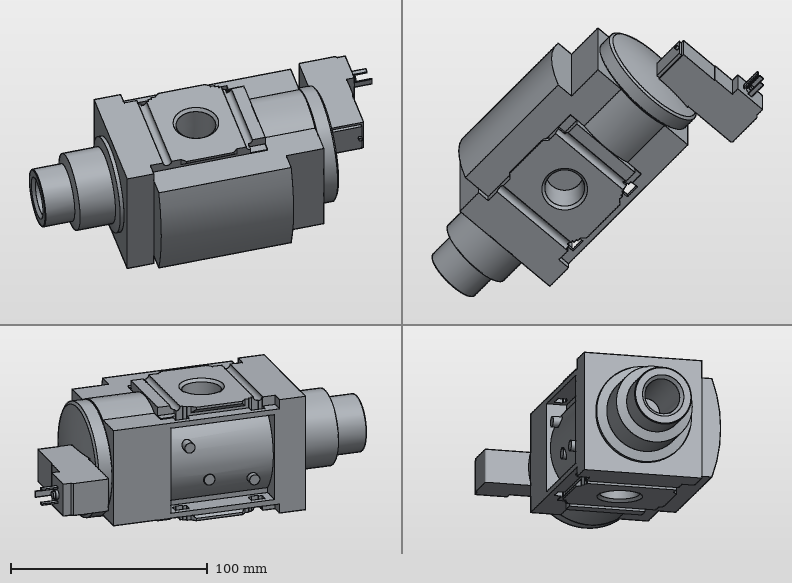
import cadquery as cq


HALF_WIDTH = 31.0
FLAT_Z = 26.0
BODY_BACK_Y = 58.9
FOOT_FRONT_Y = -45.1
PLATE_HALF_Y = 31.0
PLATE_HALF_X = 24.4
BOSS_HALF_X = 15.0
BOSS_CROWN_Z = 30.4

GROOVE_Y = 22.05
GROOVE_RADIUS = 2.25
CORNER_X = 20.0
CORNER_FRONT_Y = 22.05
CORNER_Z = 26.5
RIB_TIP_HALF_Y = 12.5
RIB_PROJECTION = 2.2
RIB_BOTTOM_Z = 27.5
PORT_RADIUS = 10.1
PORT_BOTTOM_RADIUS = 9.6
PORT_MOUTH_RADIUS = 11.6
PORT_DEPTH = 20.0

WINDOW_FRONT_Y = -28.3
WINDOW_BACK_Y = 27.9
WINDOW_HALF_Z = 23.2
WINDOW_BACK_X = -20.5
CORE_RADIUS = 29.0
SLOT_Y = 20.5
SLOT_HALF_Y = 3.7
SLOT_INNER_HALF_Y = 1.9
SLOT_OUTER_X = -27.9
SLOT_STEP_X = -23.5
SLOT_INNER_X = -22.5
STUD_Y = 17.55
STUD_Z = 11.0
STUD_DIAMETER = 5.5
BUTTON_DIAMETER = 5.8
BUTTON_Y = 6.1
BUTTON_Z = -8.6
BUTTON_TIP_X = -28.8

COVER_FRONT_Y = -31.0
COVER_BACK_Y = 39.0
COVER_EDGE_X = 40.2
COVER_CROWN_X = 44.8

FLANGE_RADIUS = 25.0
COLLAR_RADIUS = 20.0
NOZZLE_RADIUS = 15.0
FLANGE_EDGE_Y = -47.1
COLLAR_START_Y = -48.2
COLLAR_EDGE_Y = -66.9
NOZZLE_START_Y = -68.3
NOZZLE_END_Y = -84.0
NOZZLE_CHAMFER = 0.4
BORE_RADIUS = 9.2
BORE_MOUTH_RADIUS = 10.9
BORE_BOTTOM_RADIUS = 7.8
BORE_DEPTH = 35.0

CAP_RADIUS = 30.0
CAP_NECK_RADIUS = 29.0
CAP_START_Y = 59.3
CAP_EDGE_Y = 66.4
DOME_EDGE_RADIUS = 28.5
DOME_EDGE_Y = 67.4
DOME_TOP_Y = 70.8

COIL_HALF_Z = 8.75
PLUG_LEFT_X = -52.0
PLUG_SHOULDER_X = -51.0
PLUG_HEAD_RIGHT_X = -33.9
PLUG_RIGHT_X = -22.0
PLUG_FRONT_Y = 69.1
PLUG_BACK_Y = 89.3
PLUG_SHOULDER_Y = 88.2
PLUG_HEAD_Y = 93.4
PLUG_EDGE_RADIUS = 0.9
COIL_BACK_Y = 88.9
COIL_FRONT_Y = 66.0
COIL_RIGHT_X = -0.6
END_PLATE_RIGHT_X = 1.1
END_PLATE_BACK_Y = 87.5
END_PLATE_HALF_Z = 7.5
NUB_Y = 86.5
NUB_DIAMETER = 2.01
NUB_TIP_X = 2.5
COLLAR_X = -42.3
SEAL_DIAMETERS_AND_TOPS = ((5.0, 95.0), (3.8, 96.1))
BLADE_THICKNESS = 0.8
CONTACT_WIDTH = 2.5
CONTACT_Z = 4.0
CONTACT_TIP_Y = 102.2
EARTH_WIDTH = 3.2
EARTH_X = -38.2
EARTH_TIP_Y = 103.9

OVERLAP = 1.0


def box(x0, x1, y0, y1, z0, z1):
    """Box between opposite corner coordinates."""
    return cq.Workplane("XY").box(x1 - x0, y1 - y0, z1 - z0, centered=False).translate((x0, y0, z0))


def along_y(section, y0, y1):
    """Extrude a closed XZ sketch, drawn on the XZ plane, from y0 to y1."""
    return section.extrude(-(y1 - y0)).translate((0, y0, 0))


def with_mirror(shape):
    """The shape together with its mirror image below the XY plane."""
    return shape.union(shape.mirror("XY"))


def turned(points):
    """Solid of revolution about Y from (radius, y) points."""
    return cq.Workplane("XY").polyline(points).close().revolve(360, (0, 0, 0), (0, 1, 0))


def rod_x(diameter, y, z, x0, x1):
    """Round pin parallel to X."""
    return cq.Workplane("YZ", origin=(x0, y, z)).circle(diameter / 2).extrude(x1 - x0)


def housing():
    """Housing core, square foot and the rounded crowns on top and bottom."""
    core = box(-HALF_WIDTH, HALF_WIDTH, FOOT_FRONT_Y, BODY_BACK_Y, -FLAT_Z, FLAT_Z)
    foot = box(-HALF_WIDTH, HALF_WIDTH, FOOT_FRONT_Y, -PLATE_HALF_Y, -HALF_WIDTH, HALF_WIDTH)
    crown_sketch = (
        cq.Workplane("XZ")
        .moveTo(-BOSS_HALF_X, FLAT_Z)
        .threePointArc((0, BOSS_CROWN_Z), (BOSS_HALF_X, FLAT_Z))
        .lineTo(BOSS_HALF_X, 0)
        .lineTo(-BOSS_HALF_X, 0)
        .close()
    )
    crown = along_y(crown_sketch, PLATE_HALF_Y - OVERLAP, BODY_BACK_Y)
    return core.union(foot).union(with_mirror(crown))


def port_plate():
    """Raised plate on the top face, with cross grooves, cut corners and side ribs."""
    plate = box(-PLATE_HALF_X, PLATE_HALF_X, -PLATE_HALF_Y - OVERLAP, PLATE_HALF_Y, 0, HALF_WIDTH)
    for side in (-1, 1):
        groove = (
            cq.Workplane("YZ", origin=(-HALF_WIDTH, side * GROOVE_Y, HALF_WIDTH))
            .circle(GROOVE_RADIUS)
            .extrude(2 * HALF_WIDTH)
        )
        corner = box(
            CORNER_X, PLATE_HALF_X + OVERLAP,
            CORNER_FRONT_Y, PLATE_HALF_Y + OVERLAP,
            CORNER_Z, HALF_WIDTH + OVERLAP,
        )
        if side < 0:
            corner = corner.mirror("YZ")
        plate = plate.cut(groove).cut(corner)
    rib_top = [
        (-PLATE_HALF_X - RIB_PROJECTION, -RIB_TIP_HALF_Y),
        (-PLATE_HALF_X - RIB_PROJECTION, RIB_TIP_HALF_Y),
        (-PLATE_HALF_X, RIB_TIP_HALF_Y + RIB_PROJECTION),
        (PLATE_HALF_X, RIB_TIP_HALF_Y + RIB_PROJECTION),
        (PLATE_HALF_X + RIB_PROJECTION, RIB_TIP_HALF_Y),
        (PLATE_HALF_X + RIB_PROJECTION, -RIB_TIP_HALF_Y),
        (PLATE_HALF_X, -RIB_TIP_HALF_Y - RIB_PROJECTION),
        (-PLATE_HALF_X, -RIB_TIP_HALF_Y - RIB_PROJECTION),
    ]
    ribs = cq.Workplane("XY", origin=(0, 0, HALF_WIDTH)).polyline(rib_top).close()
    ribs = ribs.extrude(RIB_BOTTOM_Z - HALF_WIDTH)
    for side in (-1, 1):
        underside = (
            cq.Workplane("XZ")
            .moveTo(side * PLATE_HALF_X, RIB_BOTTOM_Z)
            .lineTo(side * (PLATE_HALF_X + RIB_PROJECTION), RIB_BOTTOM_Z + RIB_PROJECTION)
            .lineTo(side * (PLATE_HALF_X + RIB_PROJECTION), RIB_BOTTOM_Z)
            .close()
        )
        ribs = ribs.cut(along_y(underside, -PLATE_HALF_Y, PLATE_HALF_Y))
    return plate.union(ribs)


def side_port():
    """Blind tapered port with a chamfered mouth, sunk into the top plate."""
    outline = [
        (0, HALF_WIDTH - PORT_DEPTH),
        (PORT_BOTTOM_RADIUS, HALF_WIDTH - PORT_DEPTH),
        (PORT_RADIUS, HALF_WIDTH - (PORT_MOUTH_RADIUS - PORT_RADIUS)),
        (PORT_MOUTH_RADIUS, HALF_WIDTH),
        (0, HALF_WIDTH),
    ]
    return cq.Workplane("XZ").polyline(outline).close().revolve(360, (0, 0, 0), (0, 1, 0))


def window():
    """Pocket in the -X side that leaves the round core standing."""
    pocket = box(
        -HALF_WIDTH - OVERLAP, WINDOW_BACK_X, WINDOW_FRONT_Y, WINDOW_BACK_Y, -WINDOW_HALF_Z, WINDOW_HALF_Z
    )
    core = along_y(cq.Workplane("XZ").circle(CORE_RADIUS), WINDOW_FRONT_Y - OVERLAP, WINDOW_BACK_Y + OVERLAP)
    return pocket.cut(core)


def latch_slot(y):
    """Slot from above the top face down into the window, stepped towards the plate."""
    outline = [
        (SLOT_OUTER_X, y - SLOT_HALF_Y),
        (SLOT_STEP_X, y - SLOT_HALF_Y),
        (SLOT_STEP_X, y - SLOT_INNER_HALF_Y),
        (SLOT_INNER_X, y - SLOT_INNER_HALF_Y),
        (SLOT_INNER_X, y + SLOT_INNER_HALF_Y),
        (SLOT_STEP_X, y + SLOT_INNER_HALF_Y),
        (SLOT_STEP_X, y + SLOT_HALF_Y),
        (SLOT_OUTER_X, y + SLOT_HALF_Y),
    ]
    slot = cq.Workplane("XY", origin=(0, 0, WINDOW_HALF_Z)).polyline(outline).close()
    return slot.extrude(HALF_WIDTH + OVERLAP - WINDOW_HALF_Z)


def window_pins():
    """Two studs flush with the -X side and one short button, all on the core."""
    pins = rod_x(BUTTON_DIAMETER, BUTTON_Y, BUTTON_Z, BUTTON_TIP_X, WINDOW_BACK_X)
    for side in (-1, 1):
        pins = pins.union(rod_x(STUD_DIAMETER, side * STUD_Y, side * STUD_Z, -HALF_WIDTH, WINDOW_BACK_X))
    return pins


def cover():
    """Side cover with a barrel-shaped outer face."""
    sketch = (
        cq.Workplane("XZ")
        .moveTo(HALF_WIDTH - OVERLAP, -FLAT_Z)
        .lineTo(COVER_EDGE_X, -FLAT_Z)
        .threePointArc((COVER_CROWN_X, 0), (COVER_EDGE_X, FLAT_Z))
        .lineTo(HALF_WIDTH - OVERLAP, FLAT_Z)
        .close()
    )
    return along_y(sketch, COVER_FRONT_Y, COVER_BACK_Y)


def spigot():
    """Stepped spigot with conical shoulders and a blind tapered bore."""
    outside = turned([
        (0, FOOT_FRONT_Y + OVERLAP),
        (FLANGE_RADIUS, FOOT_FRONT_Y + OVERLAP),
        (FLANGE_RADIUS, FLANGE_EDGE_Y),
        (COLLAR_RADIUS, COLLAR_START_Y),
        (COLLAR_RADIUS, COLLAR_EDGE_Y),
        (NOZZLE_RADIUS, NOZZLE_START_Y),
        (NOZZLE_RADIUS, NOZZLE_END_Y + NOZZLE_CHAMFER),
        (NOZZLE_RADIUS - NOZZLE_CHAMFER, NOZZLE_END_Y),
        (0, NOZZLE_END_Y),
    ])
    mouth_depth = BORE_MOUTH_RADIUS - BORE_RADIUS
    bore = turned([
        (0, NOZZLE_END_Y),
        (BORE_MOUTH_RADIUS, NOZZLE_END_Y),
        (BORE_RADIUS, NOZZLE_END_Y + mouth_depth),
        (BORE_BOTTOM_RADIUS, NOZZLE_END_Y + BORE_DEPTH),
        (0, NOZZLE_END_Y + BORE_DEPTH),
    ])
    return outside.cut(bore)


def cap():
    """Round cap on a short neck, closed by a shallow dome."""
    rise = DOME_TOP_Y - DOME_EDGE_Y
    dome_radius = (DOME_EDGE_RADIUS ** 2 + rise ** 2) / (2 * rise)
    mid_x = DOME_EDGE_RADIUS / 2
    mid_y = DOME_TOP_Y - dome_radius + (dome_radius ** 2 - mid_x ** 2) ** 0.5
    return (
        cq.Workplane("XY")
        .moveTo(0, BODY_BACK_Y - OVERLAP)
        .lineTo(CAP_NECK_RADIUS, BODY_BACK_Y - OVERLAP)
        .lineTo(CAP_NECK_RADIUS, CAP_START_Y)
        .lineTo(CAP_RADIUS, CAP_START_Y)
        .lineTo(CAP_RADIUS, CAP_EDGE_Y)
        .lineTo(DOME_EDGE_RADIUS, DOME_EDGE_Y)
        .threePointArc((mid_x, mid_y), (0, DOME_TOP_Y))
        .close()
        .revolve(360, (0, 0, 0), (0, 1, 0))
    )


def solenoid():
    """Coil block standing on the cap, its end plate and the plug body beside it."""
    coil = box(PLUG_RIGHT_X, COIL_RIGHT_X, COIL_FRONT_Y, COIL_BACK_Y, -COIL_HALF_Z, COIL_HALF_Z)
    end_plate = box(
        COIL_RIGHT_X, END_PLATE_RIGHT_X, COIL_FRONT_Y, END_PLATE_BACK_Y, -END_PLATE_HALF_Z, END_PLATE_HALF_Z
    )
    nub = rod_x(NUB_DIAMETER, NUB_Y, 0, COIL_RIGHT_X, NUB_TIP_X)
    plug_outline = [
        (PLUG_LEFT_X, PLUG_FRONT_Y),
        (PLUG_RIGHT_X, PLUG_FRONT_Y),
        (PLUG_RIGHT_X, PLUG_BACK_Y),
        (PLUG_HEAD_RIGHT_X, PLUG_BACK_Y),
        (PLUG_HEAD_RIGHT_X, PLUG_HEAD_Y),
        (PLUG_SHOULDER_X, PLUG_HEAD_Y),
        (PLUG_SHOULDER_X, PLUG_BACK_Y),
        (PLUG_LEFT_X, PLUG_SHOULDER_Y),
    ]
    plug = (
        cq.Workplane("XY", origin=(0, 0, -COIL_HALF_Z))
        .polyline(plug_outline)
        .close()
        .extrude(2 * COIL_HALF_Z)
    )
    outer_corner = cq.selectors.NearestToPointSelector((PLUG_LEFT_X, PLUG_FRONT_Y, 0))
    plug = plug.edges(outer_corner).fillet(PLUG_EDGE_RADIUS)
    return coil.union(end_plate).union(nub).union(plug)


def blade(x, z, x_size, z_size, tip_y):
    """Flat contact blade standing on the plug head."""
    return box(
        x - x_size / 2, x + x_size / 2, PLUG_HEAD_Y - OVERLAP, tip_y, z - z_size / 2, z + z_size / 2
    )


def plug_contacts():
    """Stepped round seal, two contact blades and the earth blade."""
    contacts = blade(EARTH_X, 0, BLADE_THICKNESS, EARTH_WIDTH, EARTH_TIP_Y)
    for side in (-1, 1):
        contacts = contacts.union(
            blade(COLLAR_X, side * CONTACT_Z, CONTACT_WIDTH, BLADE_THICKNESS, CONTACT_TIP_Y)
        )
    for diameter, top_y in SEAL_DIAMETERS_AND_TOPS:
        ring = along_y(cq.Workplane("XZ").circle(diameter / 2), PLUG_HEAD_Y - OVERLAP, top_y)
        contacts = contacts.union(ring.translate((COLLAR_X, 0, 0)))
    return contacts


valve = housing().union(with_mirror(port_plate()))
valve = valve.cut(with_mirror(side_port())).cut(window())
for slot_side in (-1, 1):
    valve = valve.cut(with_mirror(latch_slot(slot_side * SLOT_Y)))
valve = valve.union(window_pins()).union(cover()).union(spigot()).union(cap())
result = valve.union(solenoid()).union(plug_contacts())